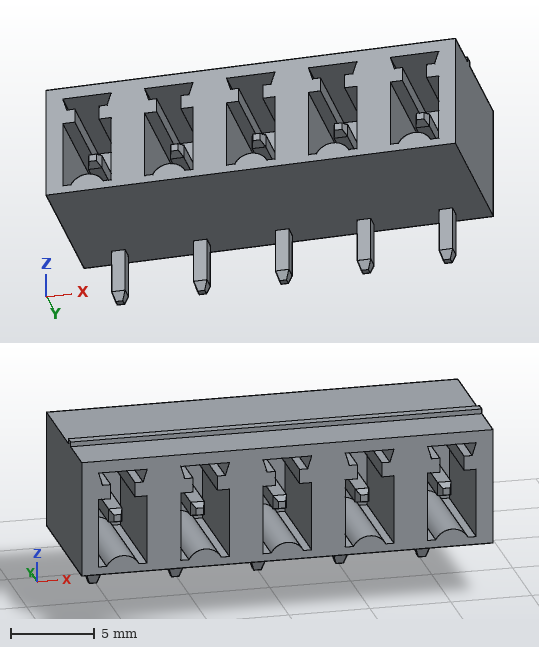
import cadquery as cq

pole_count = 5
pitch = 5.08
body_length = pole_count * pitch
body_depth = 9.2
body_height = 7.25

rib_front = 2.9
rib_width = 0.6
rib_height = 0.3

cavity_depth = 7.0
cavity_width = 3.0
cavity_floor_z = 0.5
neck_bottom_z = 4.8
neck_top_z = 5.7
cavity_top_z = 6.5
neck_width = 1.5
dovetail_bottom_width = 2.5

floor_ridge_width = 2.0
floor_ridge_height = 0.6

pin_size = 0.84
tip_size = 0.45
tip_length = 0.6
contact_z = 3.0
contact_tip_y = 1.4
leg_length = 3.4
leg_back_gap = 0.78
leg_center_y = body_depth - leg_back_gap - pin_size / 2

pole_positions = [(i - (pole_count - 1) / 2) * pitch for i in range(pole_count)]


def make_housing():
    body = cq.Workplane("XY").box(
        body_length, body_depth, body_height, centered=(True, False, False)
    )
    rib = (
        cq.Workplane("XY")
        .box(body_length, rib_width, body_height + rib_height, centered=(True, False, False))
        .translate((0, rib_front, 0))
    )
    return body.union(rib)


def make_cavity(x):
    """Cavity volume: wide chamber with a floor ridge, a neck and a dovetail on top."""
    half_width = cavity_width / 2
    half_neck = neck_width / 2
    half_dovetail = dovetail_bottom_width / 2
    half_ridge = floor_ridge_width / 2
    return (
        cq.Workplane("XZ", origin=(x, 0, 0))
        .moveTo(-half_width, cavity_floor_z)
        .lineTo(-half_ridge, cavity_floor_z)
        .threePointArc((0, cavity_floor_z + floor_ridge_height), (half_ridge, cavity_floor_z))
        .lineTo(half_width, cavity_floor_z)
        .lineTo(half_width, neck_bottom_z)
        .lineTo(half_neck, neck_bottom_z)
        .lineTo(half_neck, neck_top_z)
        .lineTo(half_dovetail, neck_top_z)
        .lineTo(half_width, cavity_top_z)
        .lineTo(-half_width, cavity_top_z)
        .lineTo(-half_dovetail, neck_top_z)
        .lineTo(-half_neck, neck_top_z)
        .lineTo(-half_neck, neck_bottom_z)
        .lineTo(-half_width, neck_bottom_z)
        .close()
        .extrude(-cavity_depth)
    )


def make_prong(length):
    """Square prong rising along +Z from the origin, tapered at its far end."""
    shank_length = length - tip_length
    shank = cq.Workplane("XY").box(pin_size, pin_size, shank_length, centered=(True, True, False))
    tip = (
        cq.Workplane("XY", origin=(0, 0, shank_length))
        .rect(pin_size, pin_size)
        .workplane(offset=tip_length)
        .rect(tip_size, tip_size)
        .loft(ruled=True)
    )
    return shank.union(tip)


def make_pin(x):
    """Contact pointing forward (-Y) joined inside the housing to a leg pointing down (-Z)."""
    axis_start = (0, 0, 0)
    axis_end = (1, 0, 0)
    contact = (
        make_prong(leg_center_y - contact_tip_y)
        .rotate(axis_start, axis_end, 90)
        .translate((x, leg_center_y, contact_z))
    )
    leg = (
        make_prong(contact_z + leg_length)
        .rotate(axis_start, axis_end, 180)
        .translate((x, leg_center_y, contact_z))
    )
    return contact.union(leg)


result = make_housing()
for pole_x in pole_positions:
    result = result.cut(make_cavity(pole_x))
    result = result.union(make_pin(pole_x))